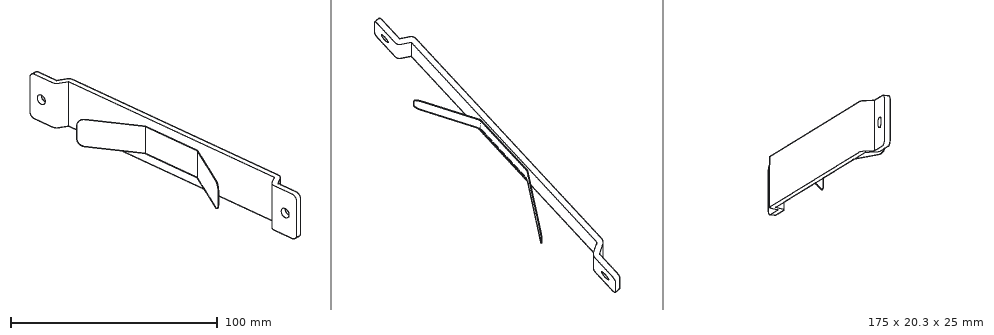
import cadquery as cq
import math

length = 175.0
height = 25.0
thickness = 3.0
step_depth = 6.0
step_angle = 60.0
tab_length = 16.6
bend_radius = thickness
tab_corner_radius = 3.0
hole_diameter = 5.0
hole_end_distance = 7.5

total_depth = 20.3
spring_length = 93.1
spring_height = 15.2
spring_thickness = 0.4
wing_angle = 30.0
wing_bend_radius = 2.5
spring_corner_radius = 4.0

half_length = length / 2
half_spring = spring_length / 2
step_slope = math.tan(math.radians(step_angle))
bend_shift = thickness * math.tan(math.radians(step_angle / 2))


def mirrored_profile(right_half):
    """Closed XY outline, given by its right half and mirrored to the left."""
    left_half = [(-x, y) for x, y in reversed(right_half)]
    return cq.Workplane("XY").polyline(right_half + left_half).close()


def make_bracket():
    front_bend_x = half_length - tab_length
    inner_bend_x = front_bend_x - step_depth / step_slope
    outline = [
        (inner_bend_x, 0),
        (front_bend_x, -step_depth),
        (half_length, -step_depth),
        (half_length, thickness - step_depth),
        (front_bend_x + bend_shift, thickness - step_depth),
        (inner_bend_x + bend_shift, thickness),
    ]
    bracket = mirrored_profile(outline).extrude(height / 2, both=True)
    for side in (-1, 1):
        for x, y in ((front_bend_x, -step_depth), (inner_bend_x + bend_shift, thickness)):
            corner = cq.selectors.NearestToPointSelector((side * x, y, 0))
            bracket = bracket.edges("|Z").edges(corner).fillet(bend_radius)
    bracket = bracket.faces("<X or >X").edges("|Y").fillet(tab_corner_radius)
    holes = (
        cq.Workplane("XZ")
        .pushPoints([(side * (half_length - hole_end_distance), 0) for side in (-1, 1)])
        .circle(hole_diameter / 2)
        .extrude(length, both=True)
    )
    return bracket.cut(holes)


def make_spring():
    angle = math.radians(wing_angle)
    tip_front_y = thickness - total_depth
    tip_back_y = tip_front_y + spring_thickness * math.cos(angle)
    tip_front_x = half_spring - spring_thickness * math.sin(angle)
    back_bend_x = half_spring + tip_back_y / math.tan(angle)
    front_bend_x = back_bend_x - spring_thickness * math.tan(angle / 2)
    outline = [
        (front_bend_x, -spring_thickness),
        (tip_front_x, tip_front_y),
        (half_spring, tip_back_y),
        (back_bend_x, 0),
    ]
    spring = mirrored_profile(outline).extrude(spring_height / 2, both=True)
    for side in (-1, 1):
        corner = cq.selectors.NearestToPointSelector((side * front_bend_x, -spring_thickness, 0))
        spring = spring.edges("|Z").edges(corner).fillet(wing_bend_radius)
    tip_middle_x = (tip_front_x + half_spring) / 2
    tip_middle_y = (tip_front_y + tip_back_y) / 2
    for side in (-1, 1):
        for end in (-1, 1):
            corner = (side * tip_middle_x, tip_middle_y, end * spring_height / 2)
            corner_edge = cq.selectors.NearestToPointSelector(corner)
            spring = spring.edges(corner_edge).fillet(spring_corner_radius)
    return spring


result = make_bracket().union(make_spring())